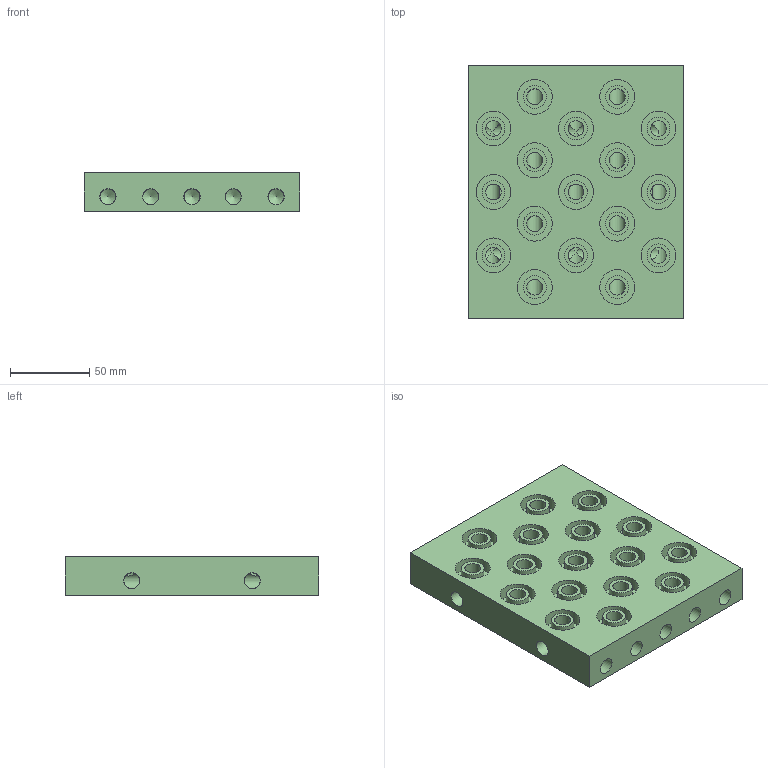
import cadquery as cq
import math

LENGTH_X = 136
LENGTH_Y = 160
HEIGHT = 24

PORT_PITCH_X = 26
PORT_PITCH_Y = 20
PORT_ROW_LIMIT = 3
PORT_ROWS = range(-PORT_ROW_LIMIT, PORT_ROW_LIMIT + 1)
BORE_DIAMETER = 10
GROOVE_OUTER_DIAMETER = 22
GROOVE_INNER_DIAMETER = 14.4
GROOVE_DEPTH = 8

CHANNEL_DIAMETER = 10
MOUTH_DIAMETER = 10.27
MOUTH_DEPTH = 10
CHANNEL_HEIGHT = 9
DRILL_POINT_ANGLE = 118
OUTER_CHANNEL_X = 53
CROSS_CHANNEL_Y = 38

CHANNEL_OVERRUN = 6
LONG_CHANNEL_END_Y = PORT_ROW_LIMIT * PORT_PITCH_Y + CHANNEL_OVERRUN
SHORT_CHANNEL_END_Y = (PORT_ROW_LIMIT - 1) * PORT_PITCH_Y + CHANNEL_OVERRUN
CROSS_CHANNEL_END_X = 2 * PORT_PITCH_X


def port_centres():
    """Odd rows hold two ports, even rows hold three."""
    centres = []
    for row in PORT_ROWS:
        columns = (-1, 1) if row % 2 else (-2, 0, 2)
        for column in columns:
            centres.append((column * PORT_PITCH_X, row * PORT_PITCH_Y))
    return centres


def cut_grooves(block):
    """Each groove leaves an island flush with the top face."""
    ring = (
        cq.Workplane("XY", origin=(0, 0, HEIGHT - GROOVE_DEPTH))
        .pushPoints(port_centres())
        .circle(GROOVE_OUTER_DIAMETER / 2)
        .circle(GROOVE_INNER_DIAMETER / 2)
        .extrude(GROOVE_DEPTH)
    )
    return block.cut(ring)


def cut_bores(block):
    """Each bore runs from the top face down to the channel axis."""
    bores = (
        cq.Workplane("XY", origin=(0, 0, CHANNEL_HEIGHT))
        .pushPoints(port_centres())
        .circle(BORE_DIAMETER / 2)
        .extrude(HEIGHT - CHANNEL_HEIGHT)
    )
    return block.cut(bores)


def drilled_hole(start, side, depth):
    """Solid of a horizontal drilled hole that begins at the start point.

    It has a slightly wider mouth, a round shaft to the given depth and a drill point.
    The side vector is 90 degrees clockwise from the drilling direction, seen from above.
    """
    radius = CHANNEL_DIAMETER / 2
    mouth_radius = MOUTH_DIAMETER / 2
    point_length = radius / math.tan(math.radians(DRILL_POINT_ANGLE / 2))
    profile = (
        cq.Workplane(cq.Plane(origin=start, xDir=side, normal=(0, 0, 1)))
        .lineTo(mouth_radius, 0)
        .lineTo(mouth_radius, MOUTH_DEPTH)
        .lineTo(radius, MOUTH_DEPTH)
        .lineTo(radius, depth)
        .lineTo(0, depth + point_length)
        .close()
    )
    return profile.revolve(360, (0, 0), (0, 1))


def cut_y_channels(block):
    """Each column of ports has its own channel; the outer pair sits slightly outboard of its ports."""
    channel_ends = {
        -OUTER_CHANNEL_X: SHORT_CHANNEL_END_Y,
        -PORT_PITCH_X: LONG_CHANNEL_END_Y,
        0: SHORT_CHANNEL_END_Y,
        PORT_PITCH_X: LONG_CHANNEL_END_Y,
        OUTER_CHANNEL_X: SHORT_CHANNEL_END_Y,
    }
    for x, end_y in channel_ends.items():
        start = (x, -LENGTH_Y / 2, CHANNEL_HEIGHT)
        depth = end_y + LENGTH_Y / 2
        block = block.cut(drilled_hole(start, (1, 0, 0), depth))
    return block


def cut_cross_channels(block):
    """Two channels along X link the channels along Y."""
    depth = CROSS_CHANNEL_END_X + LENGTH_X / 2
    for y in (-CROSS_CHANNEL_Y, CROSS_CHANNEL_Y):
        start = (-LENGTH_X / 2, y, CHANNEL_HEIGHT)
        block = block.cut(drilled_hole(start, (0, -1, 0), depth))
    return block


result = cq.Workplane("XY").box(LENGTH_X, LENGTH_Y, HEIGHT, centered=(True, True, False))
result = cut_grooves(result)
result = cut_bores(result)
result = cut_y_channels(result)
result = cut_cross_channels(result)